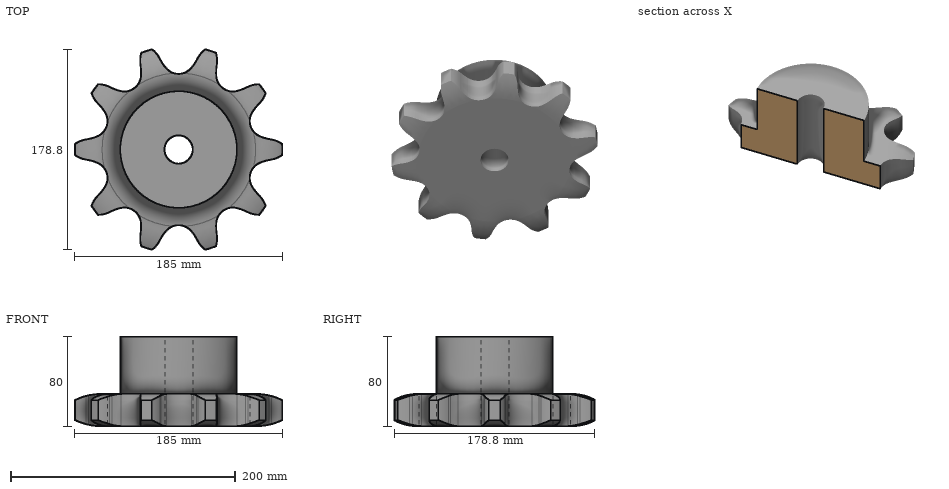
import cadquery as cq
import math

tooth_count = 10
pitch_diameter = 164.5
roller_diameter = 29.2
tip_radius = 92.5
plate_thickness = 29.0
total_height = 80.0
hub_diameter = 104.0
bore_diameter = 25.0

bevel_start_radius = 68.5
bevel_depth = 5.5

cut_overrun = 9.2

seating_angle = 35 + 60 / tooth_count
working_angle = 18 - 56 / tooth_count
topping_angle = 17 - 64 / tooth_count
pitch_radius = pitch_diameter / 2
seating_radius = 0.503 * roller_diameter
working_center_distance = 0.8 * roller_diameter
working_radius = working_center_distance + seating_radius
topping_center_distance = 1.4 * roller_diameter
flank_length = (
    topping_center_distance * math.sin(math.radians(topping_angle))
    - working_center_distance * math.sin(math.radians(working_angle))
)
topping_radius = (
    working_center_distance * math.cos(math.radians(working_angle))
    + topping_center_distance * math.cos(math.radians(topping_angle))
    - working_radius
)


def polar(center, radius, angle):
    """Point at a distance and direction (degrees) from a center."""
    turn = math.radians(angle)
    return (center[0] + radius * math.cos(turn), center[1] + radius * math.sin(turn))


def mirrored(point):
    """Mirror a point across the tooth-gap center line."""
    return (-point[0], point[1])


def topping_angle_at_tip(center):
    """Direction from the topping-arc center to where the arc meets the tip circle."""
    center_radius = math.hypot(center[0], center[1])
    inward_angle = math.degrees(math.atan2(-center[1], -center[0]))
    corner_cosine = (
        (center_radius**2 + topping_radius**2 - tip_radius**2)
        / (2 * center_radius * topping_radius)
    )
    return inward_angle - math.degrees(math.acos(corner_cosine))


def make_tooth_gap():
    """Cutter for one gap, symmetric about the +Y axis and reaching past the tip circle."""
    roller_center = (0, pitch_radius)
    root = (0, pitch_radius - seating_radius)

    seating_end_angle = -seating_angle
    working_end_angle = seating_end_angle + working_angle
    working_center = polar(roller_center, working_center_distance, 180 + seating_end_angle)
    seating_end = polar(roller_center, seating_radius, seating_end_angle)
    working_mid = polar(working_center, working_radius, (seating_end_angle + working_end_angle) / 2)
    working_end = polar(working_center, working_radius, working_end_angle)
    flank_end = polar(working_end, flank_length, working_end_angle + 90)

    topping_center = polar(flank_end, topping_radius, working_end_angle)
    topping_start_angle = working_end_angle + 180
    topping_end_angle = topping_angle_at_tip(topping_center) % 360
    topping_mid_angle = (topping_start_angle + topping_end_angle) / 2
    topping_mid = polar(topping_center, topping_radius, topping_mid_angle)
    tip_corner = polar(topping_center, topping_radius, topping_end_angle)
    outer_corner = (tip_corner[0], tip_radius + cut_overrun)

    return (
        cq.Workplane("XY")
        .moveTo(*mirrored(seating_end))
        .threePointArc(root, seating_end)
        .threePointArc(working_mid, working_end)
        .lineTo(*flank_end)
        .threePointArc(topping_mid, tip_corner)
        .lineTo(*outer_corner)
        .lineTo(*mirrored(outer_corner))
        .lineTo(*mirrored(tip_corner))
        .threePointArc(mirrored(topping_mid), mirrored(flank_end))
        .lineTo(*mirrored(working_end))
        .threePointArc(mirrored(working_mid), mirrored(seating_end))
        .close()
        .extrude(plate_thickness)
    )


def make_plate_blank():
    """Round plate whose rim curves in tangentially from both faces."""
    bevel_width = tip_radius - bevel_start_radius
    bevel_arc_radius = (bevel_width**2 + bevel_depth**2) / (2 * bevel_depth)
    half_sweep = math.asin(bevel_width / bevel_arc_radius) / 2
    mid_radius = bevel_start_radius + bevel_arc_radius * math.sin(half_sweep)
    mid_depth = bevel_arc_radius * (1 - math.cos(half_sweep))
    return (
        cq.Workplane("XZ")
        .lineTo(bevel_start_radius, 0)
        .threePointArc((mid_radius, mid_depth), (tip_radius, bevel_depth))
        .lineTo(tip_radius, plate_thickness - bevel_depth)
        .threePointArc(
            (mid_radius, plate_thickness - mid_depth),
            (bevel_start_radius, plate_thickness),
        )
        .lineTo(0, plate_thickness)
        .close()
        .revolve(360, (0, 0, 0), (0, 1, 0))
    )


sprocket = make_plate_blank()
tooth_gap = make_tooth_gap()
for index in range(tooth_count):
    gap_angle = index * 360 / tooth_count
    sprocket = sprocket.cut(tooth_gap.rotate((0, 0, 0), (0, 0, 1), gap_angle))

hub = cq.Workplane("XY").circle(hub_diameter / 2).extrude(total_height)
bore = cq.Workplane("XY").circle(bore_diameter / 2).extrude(total_height)
result = sprocket.union(hub).cut(bore)